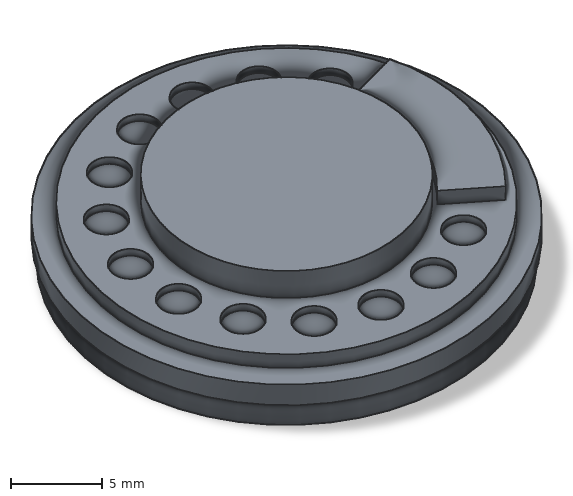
import cadquery as cq
import math

base_diameter = 27.5
base_height = 1.68
flange_diameter = 28.0
flange_height = 1.5
deck_diameter = 25.25
deck_height = 1.0
hub_diameter = 16.0
hub_height = 2.0

pad_height = 1.0
pad_inner_radius = 8.25
pad_outer_radius = 12.0
pad_inner_half_width = 4.5
pad_outer_half_width = 6.13

hole_diameter = 2.5
hole_depth = 0.5
hole_circle_radius = 10.0
hole_positions = 16
hole_count = 13
hole_pitch = 360 / hole_positions
first_hole_angle = 90 + 2 * hole_pitch

deck_top = base_height + flange_height + deck_height


def add_disc(body, diameter, height):
    """Stack a disc on the top face of the body."""
    return body.faces(">Z").workplane().circle(diameter / 2).extrude(height)


def point_on_arc(radius, x):
    """Point with the given x on the +Y half of a circle about the Z axis."""
    return (x, math.sqrt(radius**2 - x**2))


def make_pad():
    """Arc-shaped pad with straight slanted ends."""
    return (
        cq.Workplane("XY", origin=(0, 0, deck_top))
        .moveTo(*point_on_arc(pad_inner_radius, -pad_inner_half_width))
        .lineTo(*point_on_arc(pad_outer_radius, -pad_outer_half_width))
        .threePointArc((0, pad_outer_radius), point_on_arc(pad_outer_radius, pad_outer_half_width))
        .lineTo(*point_on_arc(pad_inner_radius, pad_inner_half_width))
        .threePointArc((0, pad_inner_radius), point_on_arc(pad_inner_radius, -pad_inner_half_width))
        .close()
        .extrude(pad_height)
    )


def make_holes():
    """Cutters for the blind holes, sunk from the top of the deck."""
    last_hole_offset = (hole_count - 1) * hole_pitch
    return (
        cq.Workplane("XY", origin=(0, 0, deck_top))
        .polarArray(hole_circle_radius, first_hole_angle, last_hole_offset, hole_count)
        .circle(hole_diameter / 2)
        .extrude(-hole_depth)
    )


body = cq.Workplane("XY").circle(base_diameter / 2).extrude(base_height)
body = add_disc(body, flange_diameter, flange_height)
body = add_disc(body, deck_diameter, deck_height)
body = add_disc(body, hub_diameter, hub_height)

result = body.union(make_pad()).cut(make_holes())